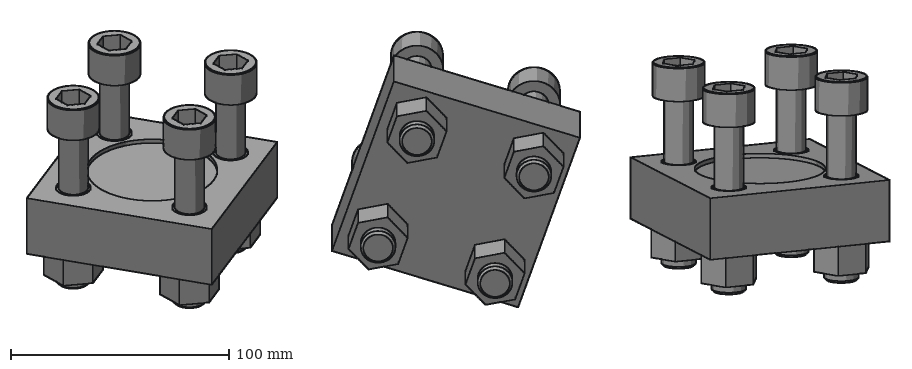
import cadquery as cq
import math

plate_side = 90.0
plate_thickness = 29.0
recess_diameter = 60.0
recess_depth = 2.0

bolt_pitch = 56.53
thread_diameter = 16.0
shank_diameter = 13.55
thread_chamfer = (thread_diameter - shank_diameter) / 2
tip_projection = 5.0

head_diameter = 24.0
head_height = thread_diameter
head_chamfer = 0.45
head_clearance = 31.0
socket_across_flats = 14.0
socket_depth = 8.0

nut_across_flats = 24.0
nut_height = 15.0

head_bottom = plate_thickness + head_clearance
head_top = head_bottom + head_height
tip_bottom = -nut_height - tip_projection


def cylinder(diameter, bottom, top):
    """Vertical cylinder on the Z axis between two heights."""
    return cq.Workplane("XY").workplane(offset=bottom).circle(diameter / 2).extrude(top - bottom)


def hexagon_prism(across_flats, bottom, top):
    """Vertical hexagonal prism with flats facing +X and -X."""
    across_corners = across_flats / math.cos(math.pi / 6)
    return (
        cq.Workplane("XY")
        .workplane(offset=bottom)
        .transformed(rotate=(0, 0, 30))
        .polygon(6, across_corners)
        .extrude(top - bottom)
    )


def at_bolt_centres(shape):
    """Copies of a shape at the four bolt positions, as one workplane."""
    centres = cq.Workplane("XY").rect(bolt_pitch, bolt_pitch, forConstruction=True).vertices()
    return centres.eachpoint(lambda location: shape.val().moved(location), combine=False)


def make_plate():
    """Square plate with a shallow round recess and four bolt holes."""
    plate = cq.Workplane("XY").rect(plate_side, plate_side).extrude(plate_thickness)
    plate = plate.cut(cylinder(recess_diameter, plate_thickness - recess_depth, plate_thickness))
    hole = cylinder(thread_diameter, 0, plate_thickness)
    return plate.cut(at_bolt_centres(hole))


def make_bolt():
    """Socket head bolt with a reduced shank above its thread, and its nut."""
    head = cylinder(head_diameter, head_bottom, head_top).faces(">Z").edges().chamfer(head_chamfer)
    head = head.cut(hexagon_prism(socket_across_flats, head_top - socket_depth, head_top))
    shank = cylinder(shank_diameter, 0, head_bottom)
    thread = cylinder(thread_diameter, tip_bottom, plate_thickness)
    thread = thread.faces("<Z or >Z").edges().chamfer(thread_chamfer)
    nut = hexagon_prism(nut_across_flats, -nut_height, 0)
    return head.union(shank).union(thread).union(nut)


result = make_plate().union(at_bolt_centres(make_bolt()))